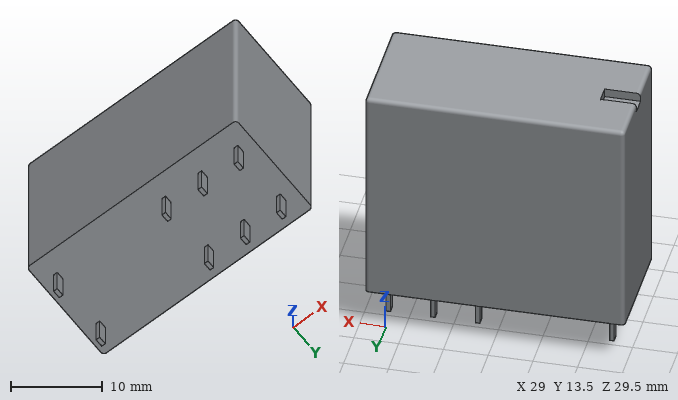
import cadquery as cq

body_length = 29.0
body_width = 13.5
total_height = 29.5
pin_length = 4.0
body_height = total_height - pin_length
edge_radius = 0.47

notch_length = 4.0
notch_width = 2.0
notch_depth = 1.0

pin_thickness = 0.5
pin_width = 1.0
row_spacing = 7.5
pin_span = 25.0
pin_pitch = pin_span / 5
pin_steps = [-2.5, 0.5, 1.5, 2.5]


def make_body():
    """Case standing on Z = 0, rounded everywhere except around its base."""
    block = cq.Workplane("XY").box(body_length, body_width, body_height, centered=(True, True, False))
    return block.edges("|Z or >Z").fillet(edge_radius)


def make_notch():
    """Cutter for the notch in the middle of the -X top edge."""
    return (
        cq.Workplane("XY")
        .box(notch_length, notch_width, notch_depth, centered=(False, True, False))
        .translate((-body_length / 2, 0, body_height - notch_depth))
    )


def make_pins():
    """Pins hanging below the base."""
    places = [
        (step * pin_pitch, side * row_spacing / 2)
        for step in pin_steps
        for side in (-1, 1)
    ]
    return cq.Workplane("XY").pushPoints(places).rect(pin_thickness, pin_width).extrude(-pin_length)


result = make_body().cut(make_notch()).union(make_pins())